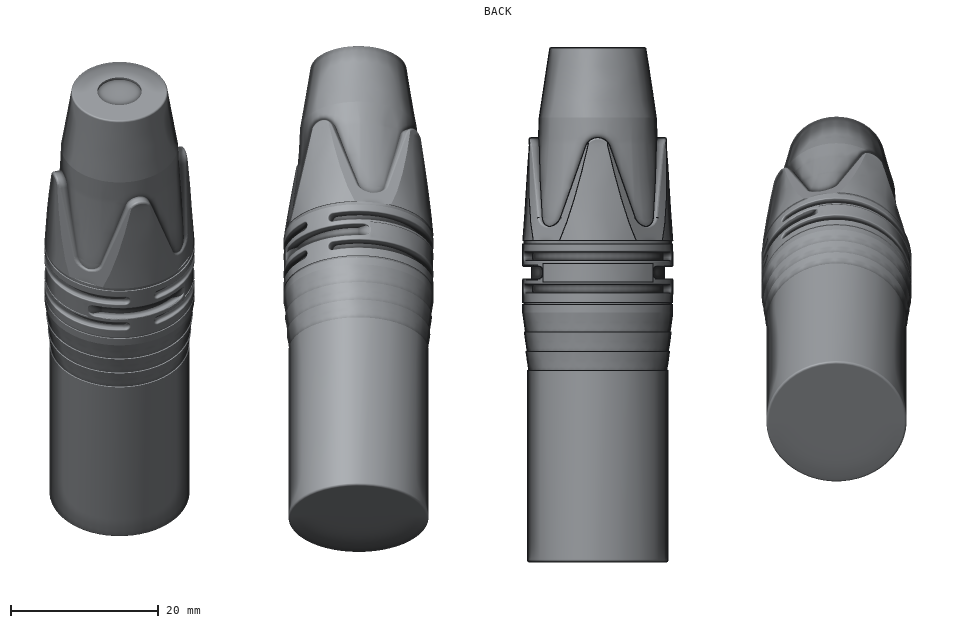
import cadquery as cq
import math

total_height = 69.64
max_radius = 20.33 / 2

barrel_radius = 9.5
barrel_top = 25.93
barrel_edge_fillet = 0.3
band_height = 2.6
band_undercut = 0.16
band_count = 3
band_growth = (max_radius - barrel_radius) / band_count

groove_depth = 0.15
lower_groove_bottom = 34.85
lower_groove_width = 0.3
upper_groove_bottom = 43.05
upper_groove_width = 0.5
core_radius = 9.0
ring_mid_height = 39.2
slot_height = 1.2
slot_offset = 2.2
slot_land_half_width = 1.73
side_slot_length = 13.6
side_slot_height = 1.7
slot_mouth_rounding = 0.15
side_slot_floor = 7.5

plate_width = 14.9
plate_height = 2.5
plate_depth = 0.1

crown_bottom = upper_groove_bottom + upper_groove_width
valley_height = 45.4
tooth_tip_height = 57.47
tooth_tip_radius = 9.3
tooth_tip_rounding = 1.75
valley_half_width = 6.85
valley_rounding = 1.9
rim_rounding = 0.3
rim_inside = 9.0
rim_outside = 9.7
flat_base_distance = 9.85
flat_tip_distance = 7.3

boot_seam_height = 60.16
boot_seam_radius = 7.93
boot_top_radius = 6.5
boot_top_fillet = 0.25
boot_neck_height = 53.5
boot_neck_radius = 8.3
boot_base_radius = 9.25
recess_radius = 3.0
recess_depth = 0.4

outer_reach = 2 * max_radius


def make_barrel_and_ring():
    """Barrel, saw-tooth bands and ring blank in one revolve."""
    profile = cq.Workplane("XZ").lineTo(barrel_radius, 0).lineTo(barrel_radius, barrel_top)
    for band in range(band_count):
        lower_radius = barrel_radius + band * band_growth - band_undercut
        upper_radius = barrel_radius + (band + 1) * band_growth
        band_bottom = barrel_top + band * band_height
        profile = profile.lineTo(lower_radius, band_bottom)
        profile = profile.lineTo(upper_radius, band_bottom + band_height)
    profile = profile.lineTo(max_radius, crown_bottom).lineTo(0, crown_bottom).close()
    body = profile.revolve(360, (0, 0, 0), (0, 1, 0))
    return body.faces("<Z").edges().fillet(barrel_edge_fillet)


def tube(bottom, height, outer_radius, inner_radius):
    return cq.Workplane("XY").workplane(offset=bottom).circle(outer_radius).circle(inner_radius).extrude(height)


def cut_grooves(body):
    lower = tube(lower_groove_bottom, lower_groove_width, outer_reach, max_radius - groove_depth)
    upper = tube(upper_groove_bottom, upper_groove_width, outer_reach, max_radius - groove_depth)
    return body.cut(lower).cut(upper)


def x_slot(center_y, center_z, length, height):
    """Round-ended slot running along Y, extruded through the part along X."""
    return (
        cq.Workplane("YZ").center(center_y, center_z).slot2D(length, height)
        .extrude(outer_reach, both=True)
    )


def is_slot_mouth(edge):
    near_middle = abs(edge.positionAt(0.5).z - ring_mid_height) < slot_offset + slot_height
    on_surface = all(
        math.hypot(point.x, point.y) > max_radius - slot_mouth_rounding / 2
        for point in edge.positions([0, 0.5, 1])
    )
    return near_middle and on_surface and edge.geomType() != "LINE"


def cut_slots(body):
    """Four long slots around the Y faces and a side slot at +X and -X, down to the core."""
    sleeve = tube(lower_groove_bottom, crown_bottom - lower_groove_bottom, outer_reach, core_radius)
    for side in (-1, 1):
        center_y = side * (slot_land_half_width + outer_reach / 2)
        for level in (-1, 1):
            slot = x_slot(center_y, ring_mid_height + level * slot_offset, outer_reach, slot_height)
            body = body.cut(slot.intersect(sleeve))
    side_slot = x_slot(0, ring_mid_height, side_slot_length, side_slot_height)
    middle = cq.Workplane("XY").box(2 * side_slot_floor, outer_reach, 2 * total_height)
    body = body.cut(side_slot.cut(middle).intersect(sleeve))
    mouths = [edge for edge in body.edges().vals() if is_slot_mouth(edge)]
    return body.newObject(mouths).fillet(slot_mouth_rounding)


def cut_name_plates(body):
    """Shallow recess of constant depth on both faces."""
    plates = cq.Workplane("XY").box(plate_width, outer_reach, plate_height).translate((0, 0, ring_mid_height))
    rim = tube(lower_groove_bottom, crown_bottom - lower_groove_bottom, outer_reach, max_radius - plate_depth)
    return body.cut(plates.intersect(rim))


def arc_point(center, radius, angle):
    return (center[0] + radius * math.cos(angle), center[1] + radius * math.sin(angle))


def mirrored(point):
    return (-point[0], point[1])


def make_tooth_pair():
    """Tooth outline extruded along Y through the part, giving the -Y and +Y teeth."""
    tip_center = (0, tooth_tip_height - tooth_tip_rounding)
    valley_center = (valley_half_width, valley_height + valley_rounding)
    drop = tip_center[1] - valley_center[1]
    center_distance = math.hypot(valley_half_width, drop)
    tangent_tilt = math.asin((tooth_tip_rounding + valley_rounding) / center_distance)
    flank_angle = math.atan2(drop, valley_half_width) + tangent_tilt

    tip_angle = math.pi / 2 - flank_angle
    valley_angle = tip_angle + math.pi
    valley_bottom_angle = 3 * math.pi / 2
    tip_end = arc_point(tip_center, tooth_tip_rounding, tip_angle)
    valley_start = arc_point(valley_center, valley_rounding, valley_angle)
    valley_mid = arc_point(valley_center, valley_rounding, (valley_angle + valley_bottom_angle) / 2)
    valley_bottom = (valley_half_width, valley_height)
    outline = (
        cq.Workplane("XZ").moveTo(valley_half_width, crown_bottom)
        .lineTo(*valley_bottom)
        .threePointArc(valley_mid, valley_start)
        .lineTo(*tip_end)
        .threePointArc((0, tooth_tip_height), mirrored(tip_end))
        .lineTo(*mirrored(valley_start))
        .threePointArc(mirrored(valley_mid), mirrored(valley_bottom))
        .lineTo(-valley_half_width, crown_bottom)
        .close()
    )
    return outline.extrude(outer_reach, both=True)


def make_crown_blank():
    """Cone flattened by four inward-leaning planes on the diagonals."""
    cone = (
        cq.Workplane("XZ").moveTo(0, crown_bottom)
        .lineTo(max_radius, crown_bottom)
        .lineTo(tooth_tip_radius, tooth_tip_height)
        .lineTo(0, tooth_tip_height)
        .close()
        .revolve(360, (0, 0, 0), (0, 1, 0))
    )
    pyramid = (
        cq.Workplane("XY").workplane(offset=crown_bottom)
        .rect(2 * flat_base_distance, 2 * flat_base_distance)
        .workplane(offset=tooth_tip_height - crown_bottom)
        .rect(2 * flat_tip_distance, 2 * flat_tip_distance)
        .loft(ruled=True)
        .rotate((0, 0, 0), (0, 0, 1), 45)
    )
    return cone.intersect(pyramid)


def axis_distance(edge):
    middle = edge.positionAt(0.5)
    return math.hypot(middle.x, middle.y)


def make_crown():
    """Crown blank trimmed to four identical teeth with rounded rims."""
    tooth_pair = make_tooth_pair()
    base_height = valley_height - crown_bottom
    base = cq.Workplane("XY").workplane(offset=crown_bottom).circle(outer_reach).extrude(base_height)
    teeth = tooth_pair.union(tooth_pair.rotate((0, 0, 0), (0, 0, 1), 90)).union(base)
    crown = make_crown_blank().intersect(teeth)
    rim = [edge for edge in crown.edges().vals() if rim_inside < axis_distance(edge) < rim_outside]
    return crown.newObject(rim).fillet(rim_rounding)


def make_boot():
    """Solid boot filling the crown and rising to the flat top with its shallow recess."""
    boot = (
        cq.Workplane("XZ").moveTo(0, crown_bottom).lineTo(boot_base_radius, crown_bottom)
        .lineTo(boot_base_radius, valley_height)
        .spline([(boot_neck_radius, boot_neck_height), (boot_seam_radius, boot_seam_height)], includeCurrent=True)
        .lineTo(boot_top_radius, total_height).lineTo(0, total_height).close()
        .revolve(360, (0, 0, 0), (0, 1, 0))
    )
    boot = boot.faces(">Z").edges().fillet(boot_top_fillet)
    return boot.faces(">Z").workplane().circle(recess_radius).cutBlind(-recess_depth)


body = make_barrel_and_ring()
body = cut_grooves(body)
body = cut_slots(body)
body = cut_name_plates(body)
result = body.union(make_boot().union(make_crown()))